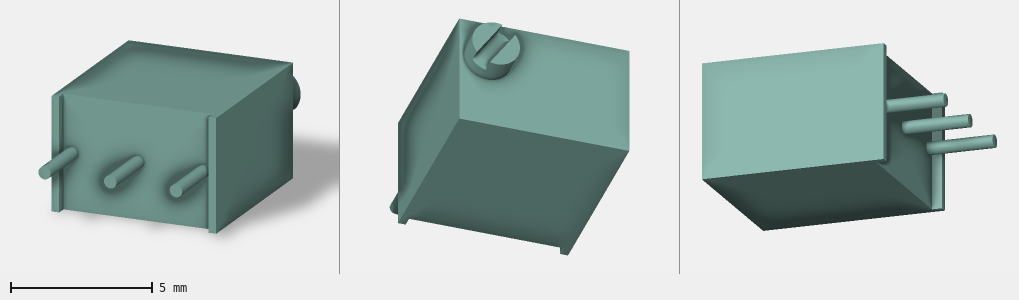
import cadquery as cq

housing_width = 6.35
housing_length = 6.85
housing_height = 4.32
total_length = 9.99

rail_width = 0.29
rail_depth = 0.38

pin_count = 3
pin_diameter = 0.48
pin_pitch = 2.54

screw_diameter = 1.78
screw_length = 1.02
screw_x = 2.14
screw_z = 0.64
slot_width = 0.59
slot_depth = 0.5
slot_angle = 34.5

rail_tip_y = -housing_length / 2
pin_face_y = rail_tip_y + rail_depth
screw_face_y = housing_length / 2
pin_length = total_length - screw_length - housing_length + rail_depth


def make_housing():
    """Rectangular case with a full-height recess that leaves a rail at each side."""
    block = cq.Workplane("XY").box(housing_width, housing_length, housing_height)
    recess_width = housing_width - 2 * rail_width
    recess_centre_y = rail_tip_y + rail_depth / 2
    recess = (
        cq.Workplane("XY")
        .box(recess_width, rail_depth, housing_height)
        .translate((0, recess_centre_y, 0))
    )
    return block.cut(recess)


def make_pin(x):
    """Round pin running in -Y from the floor of the recess."""
    return (
        cq.Workplane("XZ", origin=(x, pin_face_y, 0))
        .circle(pin_diameter / 2)
        .extrude(pin_length)
    )


def make_screw():
    """Round screw head with a tilted screwdriver slot across its end."""
    head = cq.Workplane("XZ").circle(screw_diameter / 2).extrude(-screw_length)
    slot = (
        cq.Workplane("XY")
        .box(slot_width, slot_depth, 2 * screw_diameter)
        .translate((0, screw_length - slot_depth / 2, 0))
        .rotate((0, 0, 0), (0, 1, 0), -slot_angle)
    )
    return head.cut(slot).translate((screw_x, screw_face_y, screw_z))


housing = make_housing()
screw = make_screw()
pins = []
for index in range(pin_count):
    pin_x = (index - (pin_count - 1) / 2) * pin_pitch
    pins.append(make_pin(pin_x))

result = cq.Compound.makeCompound([housing.val(), screw.val(), *[pin.val() for pin in pins]])